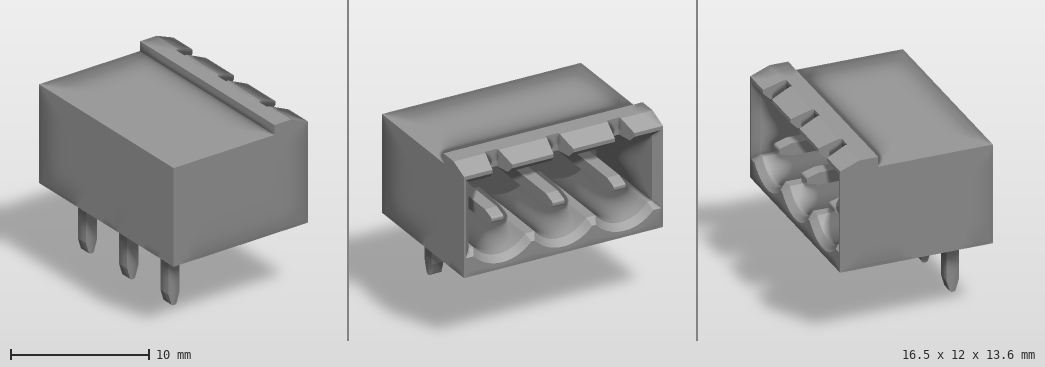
import cadquery as cq
import math


body_width = 16.54
body_depth = 12.0
shoulder_height = 8.0
ridge_height = 0.8
ridge_depth = 3.0
ridge_slope_depth = 1.5
ridge_slope_drop = 0.6
top_z = shoulder_height + ridge_height
back_edge_z = top_z - ridge_slope_drop

pin_count = 3
pitch = 5.08
pin_xs = [(i - (pin_count - 1) / 2) * pitch for i in range(pin_count)]

cavity_depth = 8.6
cavity_width = pin_count * pitch
cavity_floor_z = 1.0
floor_radius = 2.68
scallop_half_width = 2.15
mouth_chamfer = 0.5
mouth_lip = 0.3
ceiling_z = back_edge_z - mouth_lip - mouth_chamfer
scallop_centre_z = cavity_floor_z + floor_radius
land_z = scallop_centre_z - math.sqrt(floor_radius**2 - scallop_half_width**2)

notch_back_width = 1.64
notch_front_width = 1.03
notch_depth = 1.72

pin_size = 1.0
pin_y = 2.0
pin_drop = 4.8
pin_arm_z = scallop_centre_z
pin_arm_inset = 0.71
tip_length = 1.0
tip_size = 0.4
tip_rounding = 0.2


def make_body():
    """Solid body with a raised ridge along its back edge, sloped towards the back."""
    outline = [
        (0, 0),
        (body_depth, 0),
        (body_depth, back_edge_z),
        (body_depth - ridge_slope_depth, top_z),
        (body_depth - ridge_depth, top_z),
        (body_depth - ridge_depth, shoulder_height),
        (0, shoulder_height),
    ]
    return cq.Workplane("YZ").polyline(outline).close().extrude(body_width / 2, both=True)


def cut_cavity(body):
    """Open the body at the back face and chamfer the rim of the opening."""
    half_width = cavity_width / 2
    outline = (
        cq.Workplane("XZ", origin=(0, body_depth, 0))
        .moveTo(half_width, ceiling_z)
        .lineTo(-half_width, ceiling_z)
        .lineTo(-half_width, land_z)
    )
    for x in pin_xs:
        outline = outline.lineTo(x - scallop_half_width, land_z)
        outline = outline.threePointArc((x, cavity_floor_z), (x + scallop_half_width, land_z))
    cavity = outline.lineTo(half_width, land_z).close().extrude(cavity_depth)
    rim = body.cut(cavity).faces(">Y").wires(cq.selectors.AreaNthSelector(0))
    return rim.chamfer(mouth_chamfer)


def make_notch(x):
    """Tapered cutter that opens the ridge and the ceiling down into the cavity."""
    back_half = notch_back_width / 2
    front_half = notch_front_width / 2
    front_y = body_depth - notch_depth
    outline = [
        (x - back_half, body_depth),
        (x + back_half, body_depth),
        (x + front_half, front_y),
        (x - front_half, front_y),
    ]
    height = top_z - pin_arm_z
    return cq.Workplane("XY", origin=(0, 0, pin_arm_z)).polyline(outline).close().extrude(height)


def make_straight_pin(length):
    """Pin pointing down -Z from the origin, tapered in Y to a rounded tip."""
    half = pin_size / 2
    tip_half = tip_size / 2
    outline = [
        (-half, 0),
        (-half, tip_length - length),
        (-tip_half, -length),
        (tip_half, -length),
        (half, tip_length - length),
        (half, 0),
    ]
    pin = cq.Workplane("YZ").polyline(outline).close().extrude(half, both=True)
    return pin.faces("<Z").edges("|X").fillet(tip_rounding)


def make_pin(x):
    """Right-angle pin: a leg through the underside and an arm along the cavity."""
    leg = make_straight_pin(pin_arm_z + pin_drop).translate((x, pin_y, pin_arm_z))
    arm = make_straight_pin(body_depth - pin_arm_inset - pin_y)
    arm = arm.rotate((0, 0, 0), (1, 0, 0), 90).translate((x, pin_y, pin_arm_z))
    return leg.union(arm)


result = cut_cavity(make_body())
for pin_x in pin_xs:
    result = result.cut(make_notch(pin_x)).union(make_pin(pin_x))